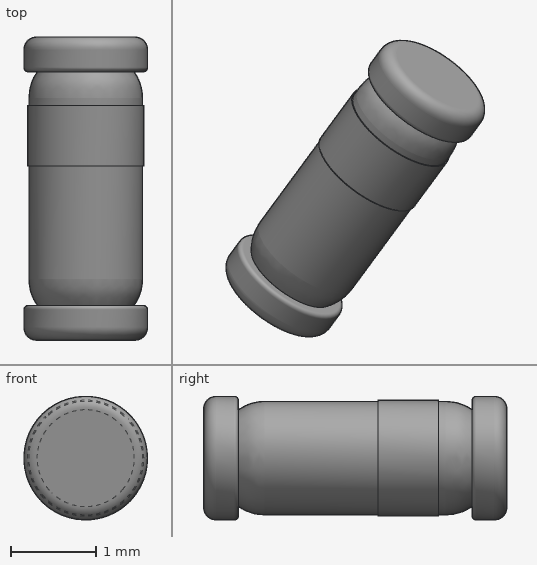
import cadquery as cq

total_length = 3.55

cap_diameter = 1.45
cap_length = 0.41
cap_outer_fillet = 0.15
cap_inner_fillet = 0.05

glass_diameter = 1.33
glass_end_diameter = 1.135
shoulder_length = 0.31

band_diameter = 1.36
band_start = 0.265
band_end = 0.973

glass_half_length = total_length / 2 - cap_length


def make_cap(side):
    """Solid end cap at the +Y (side = 1) or -Y (side = -1) end."""
    inner_y = side * glass_half_length
    outer_face, inner_face = (">Y", "<Y") if side > 0 else ("<Y", ">Y")
    return (
        cq.Workplane("XZ", origin=(0, inner_y, 0))
        .circle(cap_diameter / 2)
        .extrude(-side * cap_length)
        .faces(outer_face).edges().fillet(cap_outer_fillet)
        .faces(inner_face).edges().fillet(cap_inner_fillet)
    )


def make_glass():
    """Glass cylinder with rounded shoulders and the raised marking band."""
    glass_radius = glass_diameter / 2
    end_radius = glass_end_diameter / 2
    band_radius = band_diameter / 2
    shoulder_y = glass_half_length - shoulder_length
    shoulder_drop = glass_radius - end_radius
    shoulder_radius = (shoulder_length**2 + shoulder_drop**2) / (2 * shoulder_drop)
    return (
        cq.Workplane("XY")
        .moveTo(0, -glass_half_length)
        .lineTo(end_radius, -glass_half_length)
        .radiusArc((glass_radius, -shoulder_y), -shoulder_radius)
        .lineTo(glass_radius, band_start)
        .lineTo(band_radius, band_start)
        .lineTo(band_radius, band_end)
        .lineTo(glass_radius, band_end)
        .lineTo(glass_radius, shoulder_y)
        .radiusArc((end_radius, glass_half_length), -shoulder_radius)
        .lineTo(0, glass_half_length)
        .close()
        .revolve(360, (0, 0, 0), (0, 1, 0))
    )


glass = make_glass()
caps = [make_cap(side) for side in (-1, 1)]

result = cq.Compound.makeCompound([glass.val(), *[cap.val() for cap in caps]])